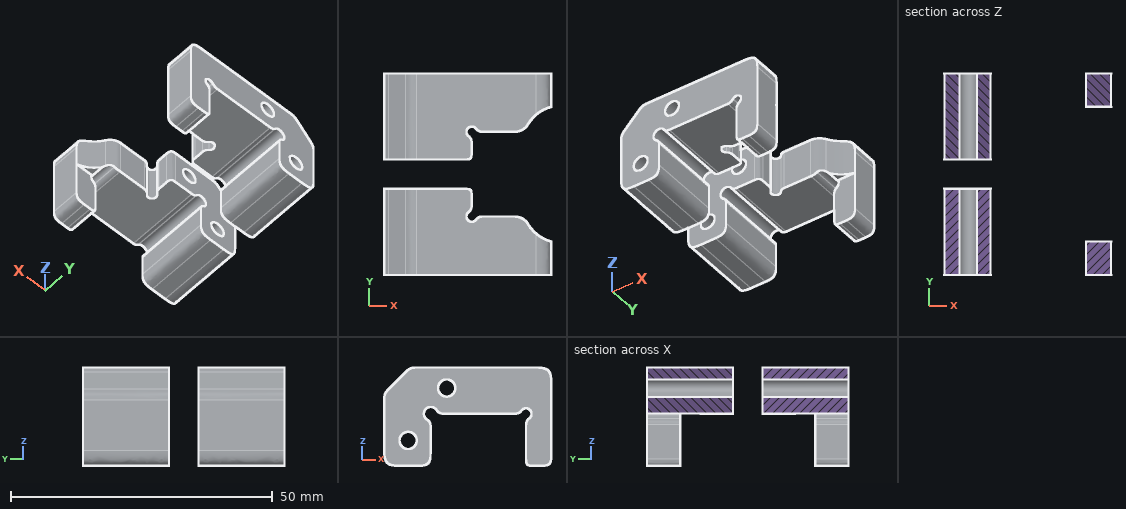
import cadquery as cq
import math

length = 32.0
height = 18.85
depth = 16.5
pair_width = 38.56

left_leg_width = 8.93
right_leg_inner_x = 27.13
bridge_underside = 9.97
bevel = 5.0
bevel_turn = math.radians(45)
bevel_blend_radius = 3.0
bevel_setback = bevel_blend_radius * math.tan(bevel_turn / 2)
corner_setback = 3.0
left_foot_inner_setback = 2.5
right_foot_inner_setback = 1.3
right_foot_outer_setback = 2.0
left_relief_radius = 1.3
right_relief_radius = 1.05
relief_lead_radius = 1.5
blend_handle = 0.8

nose_length = 16.77
nose_corner_setback = 1.2
recess_depth = 11.2
recess_relief_radius = 1.0
right_leg_thickness = 6.42
shoulder_radius = 3.0
sweep_radius = 7.2
sweep_end_angle = math.radians(14)
sweep_underside = 10.7

hole_diameter = 3.25
hole_centres = [(4.6, 4.88), (11.97, 14.9)]


def direction(start, end):
    return (end - start).normalized()


def arc_middle(centre, start, end, radius):
    return centre + direction(centre, (start + end) * 0.5) * radius


def blended_corner(path, before, corner, after, setback):
    """Run to a convex corner and round it with a blend that tightens towards its middle."""
    into = direction(before, corner)
    out = direction(corner, after)
    start = corner - into * setback
    end = corner + out * setback
    start_handle = start + into * (setback * blend_handle)
    end_handle = end - out * (setback * blend_handle)
    controls = [point.toTuple()[:2] for point in (start, start_handle, end_handle, end)]
    return path.lineTo(start.x, start.y).bezier(controls)


def relieved_corner(path, before, corner, after, radius):
    """Run to a square inner corner and round it out, with equal fillets leading in and out."""
    into = direction(before, corner)
    out = direction(corner, after)
    reach = math.sqrt(radius**2 + 2 * radius * relief_lead_radius)
    entry = corner - into * reach
    exit_point = corner + out * reach
    entry_centre = entry - out * relief_lead_radius
    exit_centre = exit_point + into * relief_lead_radius
    relief_start = corner + direction(corner, entry_centre) * radius
    relief_end = corner + direction(corner, exit_centre) * radius
    entry_middle = arc_middle(entry_centre, entry, relief_start, relief_lead_radius)
    exit_middle = arc_middle(exit_centre, relief_end, exit_point, relief_lead_radius)
    relief_middle = corner + (into - out).normalized() * radius
    path = path.lineTo(entry.x, entry.y)
    for middle, end in (
        (entry_middle, relief_start),
        (relief_middle, relief_end),
        (exit_middle, exit_point),
    ):
        path = path.threePointArc((middle.x, middle.y), (end.x, end.y))
    return path


def side_profile():
    """C-shaped clamp profile, extruded over the full depth towards +Y."""
    corners = [
        (0, 0, blended_corner, corner_setback),
        (0, height - bevel, blended_corner, bevel_setback),
        (bevel, height, blended_corner, bevel_setback),
        (length, height, blended_corner, corner_setback),
        (length, 0, blended_corner, right_foot_outer_setback),
        (right_leg_inner_x, 0, blended_corner, right_foot_inner_setback),
        (right_leg_inner_x, bridge_underside, relieved_corner, right_relief_radius),
        (left_leg_width, bridge_underside, relieved_corner, left_relief_radius),
        (left_leg_width, 0, blended_corner, left_foot_inner_setback),
    ]
    points = [cq.Vector(x, z) for x, z, _, _ in corners]
    path = cq.Workplane("XZ").moveTo(left_leg_width / 2, 0)
    for i, (_, _, corner_style, size) in enumerate(corners):
        path = corner_style(path, points[i - 1], points[i], points[(i + 1) % len(points)], size)
    return path.close().extrude(-depth)


def plan_profile():
    """Outline from above: deep nose, relieved recess and a sweep down to the thin right leg."""
    sweep_centre = cq.Vector(
        length + sweep_radius * math.sin(sweep_end_angle),
        right_leg_thickness + sweep_radius * math.cos(sweep_end_angle),
    )
    shoulder_y = recess_depth - shoulder_radius
    centre_rise = sweep_centre.y - shoulder_y
    centre_run = math.sqrt((shoulder_radius + sweep_radius) ** 2 - centre_rise**2)
    shoulder_centre = cq.Vector(sweep_centre.x - centre_run, shoulder_y)
    join_angle = math.atan2(centre_rise, centre_run)
    join = shoulder_centre + cq.Vector(math.cos(join_angle), math.sin(join_angle)) * shoulder_radius
    shoulder_start = cq.Vector(shoulder_centre.x, recess_depth)
    sweep_end = cq.Vector(length, right_leg_thickness)

    shoulder_middle = arc_middle(shoulder_centre, shoulder_start, join, shoulder_radius)
    sweep_middle = arc_middle(sweep_centre, join, sweep_end, sweep_radius)
    nose_left = cq.Vector(0, depth)
    nose_right = cq.Vector(nose_length, depth)
    recess_corner = cq.Vector(nose_length, recess_depth)

    path = cq.Workplane("XY").lineTo(0, depth)
    path = blended_corner(path, nose_left, nose_right, recess_corner, nose_corner_setback)
    path = relieved_corner(path, nose_right, recess_corner, shoulder_start, recess_relief_radius)
    path = (
        path.lineTo(shoulder_start.x, shoulder_start.y)
        .threePointArc(shoulder_middle.toTuple()[:2], join.toTuple()[:2])
        .threePointArc(sweep_middle.toTuple()[:2], sweep_end.toTuple()[:2])
        .lineTo(length, 0)
    )
    return path.close().extrude(height)


def leg_clearance():
    """Space beside the right leg, below the sweep and outward from the corner relief."""
    clearance = cq.Workplane("XY").box(
        length - right_leg_inner_x,
        depth - right_leg_thickness,
        sweep_underside,
        centered=False,
    )
    return clearance.translate((right_leg_inner_x, right_leg_thickness, 0))


def screw_holes():
    return cq.Workplane("XZ").pushPoints(hole_centres).circle(hole_diameter / 2).extrude(-depth)


def clamp():
    """One clamp with its outer face on the XZ plane and its nose towards +Y."""
    return side_profile().intersect(plan_profile()).cut(leg_clearance()).cut(screw_holes())


front_clamp = clamp().translate((0, -pair_width / 2, 0))
rear_clamp = front_clamp.mirror("XZ")

result = cq.Compound.makeCompound([front_clamp.val(), rear_clamp.val()])